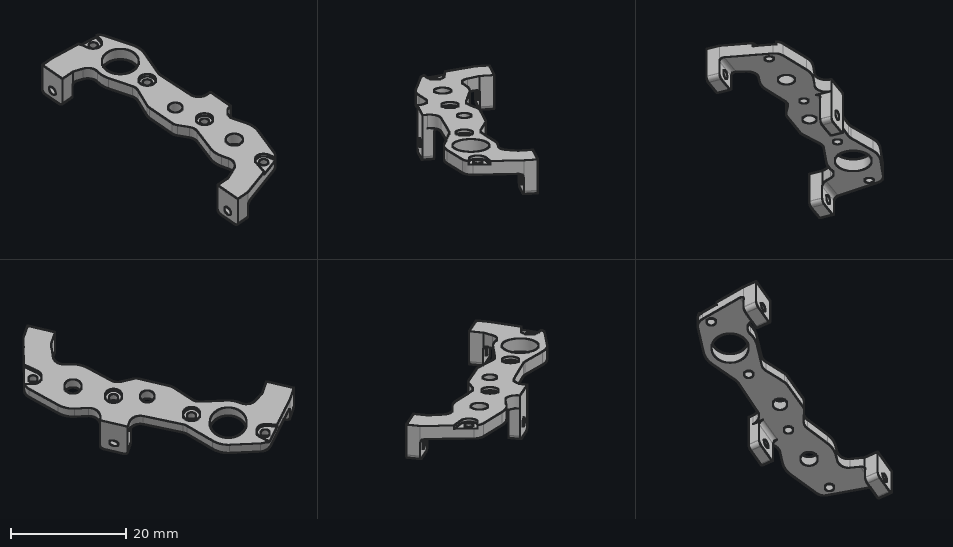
import cadquery as cq
import math

LENGTH = 48.0
DEPTH = 15.8
PLATE_THICKNESS = 2.5

LUG_WIDTH = 5.0
LEG_HEIGHT = 6.5
LEG_THICKNESS = 2.5
TAB_HEIGHT = 8.5
TAB_THICKNESS = 2.1
TAB_LEFT = 25.45
TAB_RIGHT = TAB_LEFT + LUG_WIDTH
LUG_CORNER_RADIUS = 0.8
LUG_ROOT_RADIUS = 0.8
LUG_HOLE_DIAMETER = 1.6
LEG_HOLE_DROP = 4.5
TAB_HOLE_DROP = 6.0

HOLE_ROW_Y = 10.2
LARGE_HOLE_X = 8.95
LARGE_HOLE_DIAMETER = 6.4
PIVOT_HOLE_X = 36.9
PIVOT_HOLE_DIAMETER = 3.0
CENTER_HOLE = (23.95, 8.7)
CENTER_HOLE_DIAMETER = 2.5
SCREW_HOLE_DIAMETER = 1.6
INNER_SCREW_X = (15.55, 29.6)
LEFT_SCREW_X = 2.3
RIGHT_SCREW_X = 44.1

RECESS_DIAMETER = 3.0
RECESS_DEPTH = 0.6
RECESS_FLARE_ANGLE = 14.0
RECESS_REACH = 4.0

LOBE_WALL = 1.5
LOBE_RADIUS = LARGE_HOLE_DIAMETER / 2 + LOBE_WALL
BLEND_RADIUS = 2.0
FLAT_EDGE_Y = 5.5
NECK_ANGLE = 12.0
LEG_INNER_STRAIGHT = 2.6
TAB_LEFT_STRAIGHT = 0.9
TAB_RIGHT_STRAIGHT = 0.05
TOUCHING_DISTANCE = 1e-4

LARGE_LOBE = (LARGE_HOLE_X, HOLE_ROW_Y, LOBE_RADIUS)
PIVOT_LOBE = (PIVOT_HOLE_X, HOLE_ROW_Y, LOBE_RADIUS)


def corner(x, y):
    """Sharp outline corner."""
    return (x, y, 0.0)


def bulge(x, y):
    """Convex blend round, given by its centre."""
    return (x, y, BLEND_RADIUS)


def hollow(x, y):
    """Concave blend round, given by its centre outside the plate."""
    return (x, y, -BLEND_RADIUS)


def left_neck():
    """Concave round that touches the large lobe directly, without a straight between them."""
    reach = LOBE_RADIUS + BLEND_RADIUS
    angle = math.radians(NECK_ANGLE)
    return hollow(LARGE_HOLE_X - reach * math.sin(angle), HOLE_ROW_Y - reach * math.cos(angle))


OUTLINE = [
    corner(0, 0),
    corner(LUG_WIDTH, 0),
    corner(LUG_WIDTH, LEG_INNER_STRAIGHT),
    left_neck(),
    LARGE_LOBE,
    hollow(15.5, 5.35),
    bulge(20.8, FLAT_EDGE_Y + BLEND_RADIUS),
    bulge(26.3, FLAT_EDGE_Y + BLEND_RADIUS),
    hollow(30.25, 5.25),
    PIVOT_LOBE,
    hollow(40.2, 4.2),
    corner(LENGTH - LUG_WIDTH, LEG_INNER_STRAIGHT),
    corner(LENGTH - LUG_WIDTH, 0),
    corner(LENGTH, 0),
    corner(LENGTH, LEG_THICKNESS),
    bulge(43.45, 10.9),
    PIVOT_LOBE,
    hollow(TAB_RIGHT + BLEND_RADIUS, DEPTH - TAB_RIGHT_STRAIGHT),
    corner(TAB_RIGHT, DEPTH),
    corner(TAB_LEFT, DEPTH),
    hollow(TAB_LEFT - BLEND_RADIUS, DEPTH - TAB_LEFT_STRAIGHT),
    hollow(16.3, 14.7),
    LARGE_LOBE,
    bulge(3.0, 11.0),
    corner(0, LEG_THICKNESS),
]


def tangent_normal(start, end):
    """Unit normal, on the material side, of the straight tangent to two outline rounds."""
    dx = end[0] - start[0]
    dy = end[1] - start[1]
    distance = math.hypot(dx, dy)
    lean = math.asin(max(-1.0, min(1.0, (end[2] - start[2]) / distance)))
    angle = math.atan2(dy, dx) - lean + math.pi / 2
    return (math.cos(angle), math.sin(angle))


def point_on(round_, normal):
    """Point of an outline round whose material-side normal is given."""
    x, y, radius = round_
    return (x - radius * normal[0], y - radius * normal[1])


def outline_prism(height):
    """Plate outline extruded down from the top face."""
    count = len(OUTLINE)
    normals = [tangent_normal(OUTLINE[i], OUTLINE[(i + 1) % count]) for i in range(count)]
    path = cq.Workplane("XY").moveTo(*OUTLINE[0][:2])
    last = OUTLINE[0][:2]
    for i in range(1, count):
        entry = point_on(OUTLINE[i], normals[i - 1])
        leave = point_on(OUTLINE[i], normals[i])
        if math.dist(last, entry) > TOUCHING_DISTANCE:
            path = path.lineTo(*entry)
        if OUTLINE[i][2] != 0:
            middle_x = normals[i - 1][0] + normals[i][0]
            middle_y = normals[i - 1][1] + normals[i][1]
            size = math.hypot(middle_x, middle_y)
            middle = point_on(OUTLINE[i], (middle_x / size, middle_y / size))
            path = path.threePointArc(middle, leave)
        last = leave
    return path.close().extrude(-height)


def lug(left, outer_y, inward, thickness, height, hole_drop):
    """Hanging lug with rounded lower corners and a cross hole."""
    center_x = left + LUG_WIDTH / 2
    blade = (
        cq.Workplane("XZ", origin=(center_x, outer_y, -height / 2))
        .rect(LUG_WIDTH, height)
        .extrude(-inward * thickness)
        .edges("|Y and <Z")
        .fillet(LUG_CORNER_RADIUS)
    )
    hole = (
        cq.Workplane("XZ", origin=(center_x, outer_y, -hole_drop))
        .circle(LUG_HOLE_DIAMETER / 2)
        .extrude(-inward * thickness)
    )
    return blade.cut(hole)


def root_fillet(left, width, inner_y, inward):
    """Concave fillet between a lug's inner face and the underside of the plate."""
    radius = LUG_ROOT_RADIUS
    bend = radius * (1 - math.sqrt(0.5))
    under = -PLATE_THICKNESS
    return (
        cq.Workplane("YZ", origin=(left, 0, 0))
        .moveTo(inner_y, under)
        .lineTo(inner_y + inward * radius, under)
        .threePointArc((inner_y + inward * bend, under - bend), (inner_y, under - radius))
        .close()
        .extrude(width)
    )


def hole_cutter(x, y, diameter):
    return cq.Workplane("XY").center(x, y).circle(diameter / 2).extrude(-PLATE_THICKNESS)


def round_recess(x):
    return cq.Workplane("XY").center(x, HOLE_ROW_Y).circle(RECESS_DIAMETER / 2).extrude(-RECESS_DEPTH)


def flared_recess(x, outward):
    """Recess that widens from the screw seat and runs out through the end of the plate."""
    angle = math.radians(RECESS_FLARE_ANGLE)
    radius = RECESS_DIAMETER / 2
    seat_x = x - outward * radius * math.sin(angle)
    seat_half = radius * math.cos(angle)
    mouth_x = x + outward * RECESS_REACH
    mouth_half = seat_half + abs(mouth_x - seat_x) * math.tan(angle)
    return (
        cq.Workplane("XY")
        .moveTo(seat_x, HOLE_ROW_Y + seat_half)
        .threePointArc((x - outward * radius, HOLE_ROW_Y), (seat_x, HOLE_ROW_Y - seat_half))
        .lineTo(mouth_x, HOLE_ROW_Y - mouth_half)
        .lineTo(mouth_x, HOLE_ROW_Y + mouth_half)
        .close()
        .extrude(-RECESS_DEPTH)
    )


def build():
    body = outline_prism(PLATE_THICKNESS)

    for left in (0, LENGTH - LUG_WIDTH):
        body = body.union(lug(left, 0, 1, LEG_THICKNESS, LEG_HEIGHT, LEG_HOLE_DROP))
    body = body.union(lug(TAB_LEFT, DEPTH, -1, TAB_THICKNESS, TAB_HEIGHT, TAB_HOLE_DROP))

    leg_roots = root_fillet(0, LENGTH, LEG_THICKNESS, 1).intersect(outline_prism(LEG_HEIGHT))
    body = body.union(leg_roots)
    body = body.union(root_fillet(TAB_LEFT, LUG_WIDTH, DEPTH - TAB_THICKNESS, -1))

    body = body.cut(hole_cutter(LARGE_HOLE_X, HOLE_ROW_Y, LARGE_HOLE_DIAMETER))
    body = body.cut(hole_cutter(PIVOT_HOLE_X, HOLE_ROW_Y, PIVOT_HOLE_DIAMETER))
    body = body.cut(hole_cutter(*CENTER_HOLE, CENTER_HOLE_DIAMETER))
    for x in (LEFT_SCREW_X, *INNER_SCREW_X, RIGHT_SCREW_X):
        body = body.cut(hole_cutter(x, HOLE_ROW_Y, SCREW_HOLE_DIAMETER))

    for x in INNER_SCREW_X:
        body = body.cut(round_recess(x))
    body = body.cut(flared_recess(LEFT_SCREW_X, -1))
    body = body.cut(flared_recess(RIGHT_SCREW_X, 1))
    return body.clean()


result = build()